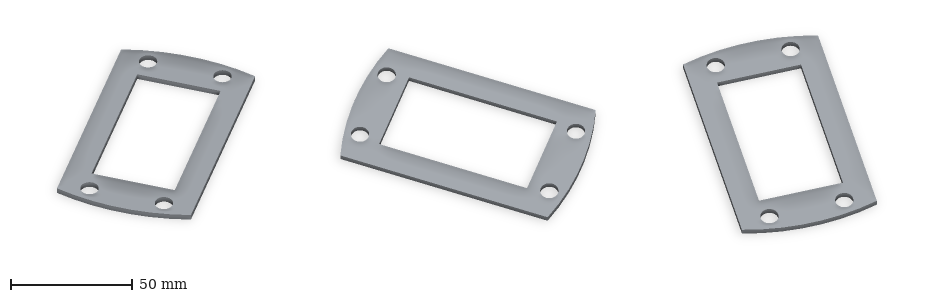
import cadquery as cq

length = 98.9
width = 57.5
thickness = 2.5
side_length = 90.8

window_width = 35.8
window_length = 64.8

hole_diameter = 7.5
hole_spacing_x = 31.9
hole_spacing_y = 82.9


def make_plate():
    """Flat plate whose two short ends are shallow outward arcs."""
    half_width = width / 2
    half_side = side_length / 2
    half_length = length / 2
    return (
        cq.Workplane("XY")
        .moveTo(-half_width, -half_side)
        .threePointArc((0, -half_length), (half_width, -half_side))
        .lineTo(half_width, half_side)
        .threePointArc((0, half_length), (-half_width, half_side))
        .close()
        .extrude(thickness)
    )


def cut_window(plate):
    """Cut the centred window through the plate."""
    return plate.faces(">Z").workplane(origin=(0, 0, thickness)).rect(window_width, window_length).cutThruAll()


def cut_mounting_holes(plate):
    """Drill one through hole near each corner."""
    return (
        plate.faces(">Z")
        .workplane(origin=(0, 0, thickness))
        .rect(hole_spacing_x, hole_spacing_y, forConstruction=True)
        .vertices()
        .hole(hole_diameter)
    )


result = cut_mounting_holes(cut_window(make_plate()))